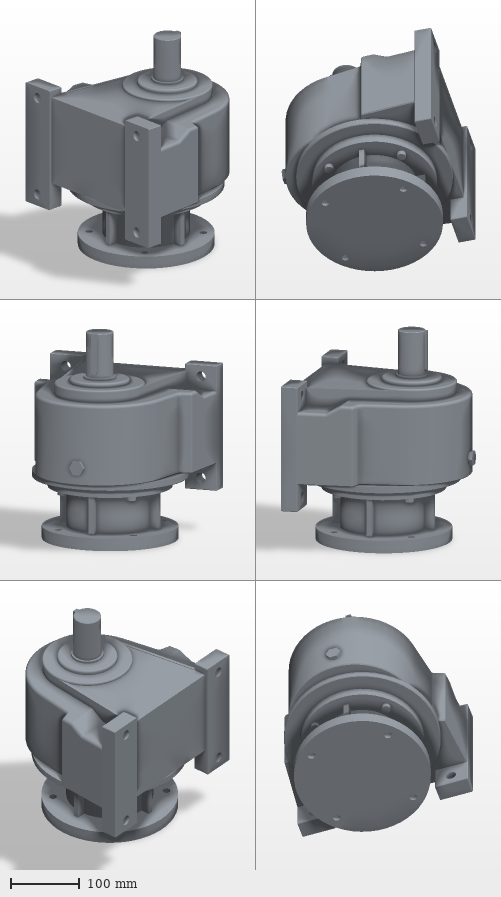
import cadquery as cq
import math


flange_thickness = 18.5
adapter_disc_bottom = 77.0
adapter_disc_top = 91.5
housing_bottom = 101.5
low_shoulder_top = 208.5
shoulder_top = 220.7
block_top = 235.5
shaft_tip = 313.0

foot_span = 260.0
foot_width = 50.0
foot_depth = 25.0
foot_height = 185.0
foot_middle_height = 153.5
foot_front = -160.0
foot_back = foot_front + foot_depth
foot_edge_chamfer = 1.0
foot_hole_diameter = 15.0
foot_hole_spacing_x = 209.7
foot_hole_spacing_z = 150.0

body_arc_radius = 96.5
body_arc_center_y = -8.8
body_wall_angle = math.radians(10)
shoulder_start_y = -48.2
shoulder_corner = (122.7, -53.5)
body_foot_half_width = 130.0
shoulder_inner_radius = 5.0
shoulder_outer_radius = 3.0
slope_top_y = -72.0
slope_bottom_y = -94.0
slope_bend_radius = 3.8
body_top_fillet = 4.7
body_bottom_chamfer = 1.5

boss_radius = 65.0
block_wall_angle = math.radians(7.5)
block_front = -155.0
panel_depth = 1.0
panel_inset = 4.0
panel_floor = block_top - panel_depth
wide_cover_radius = 65.7
wide_cover_height = 3.0
wide_cover_fillet = 2.8
small_cover_radius = 43.8
small_cover_height = 6.3
small_cover_fillet = 3.0
small_cover_bottom = block_top + wide_cover_height
small_cover_top = small_cover_bottom + small_cover_height

shaft_radius = 20.0
shaft_chamfer = 1.0
collar_radius = 23.5
collar_height = 3.0
key_width = 8.0
key_reach = 23.5
key_length = 60.0

input_axis_y = -42.3
base_disc_radius = 113.5
base_disc_chamfer = 1.0
adapter_disc_radius = 90.8
adapter_core_radius = 63.2
rib_reach = 76.5
rib_width = 7.8
flange_radius = 99.2
flange_hole_circle_radius = 82.5
flange_hole_diameter = 11.0
screw_circle_radius = 76.7
screw_head_radius = 6.5
screw_head_height = 7.2

plug_height = 127.7
plug_top_y = 94.0
plug_head_thickness = 5.3
plug_across_flats = 19.7
plug_neck_radius = 9.5
plug_neck_length = 7.8


def disc(radius, bottom, top, center_y=0.0):
    """Upright cylinder between two heights."""
    return cq.Workplane("XY", origin=(0, center_y, bottom)).circle(radius).extrude(top - bottom)


def make_body():
    """Rounded lower housing with two shoulders that slope down towards the feet."""
    tangent_x = body_arc_radius * math.cos(body_wall_angle)
    tangent_y = body_arc_center_y + body_arc_radius * math.sin(body_wall_angle)
    neck_x = tangent_x + (tangent_y - shoulder_start_y) * math.tan(body_wall_angle)
    corner_x, corner_y = shoulder_corner
    outline = (
        cq.Workplane("XY", origin=(0, 0, housing_bottom))
        .moveTo(-tangent_x, tangent_y)
        .threePointArc((0, body_arc_center_y + body_arc_radius), (tangent_x, tangent_y))
        .lineTo(neck_x, shoulder_start_y)
        .lineTo(corner_x, corner_y)
        .lineTo(body_foot_half_width, foot_back)
        .lineTo(-body_foot_half_width, foot_back)
        .lineTo(-corner_x, corner_y)
        .lineTo(-neck_x, shoulder_start_y)
        .close()
    )
    body = outline.extrude(shoulder_top - housing_bottom)
    for x, y, radius in (
        (neck_x, shoulder_start_y, shoulder_inner_radius),
        (corner_x, corner_y, shoulder_outer_radius),
    ):
        for side in (-1, 1):
            middle = (side * x, y, (housing_bottom + shoulder_top) / 2)
            body = body.edges(cq.NearestToPointSelector(middle)).fillet(radius)

    lowering = (
        cq.Workplane("YZ", origin=(-foot_span / 2, 0, 0))
        .moveTo(slope_top_y, shoulder_top)
        .lineTo(slope_bottom_y, low_shoulder_top)
        .lineTo(foot_back, low_shoulder_top)
        .lineTo(foot_back, shoulder_top)
        .close()
        .extrude(foot_span)
    )
    body = body.cut(lowering)
    for y, z in ((slope_top_y, shoulder_top), (slope_bottom_y, low_shoulder_top)):
        body = body.edges(cq.NearestToPointSelector((0, y, z))).fillet(slope_bend_radius)

    margin = 0.3
    upper_zone = cq.selectors.BoxSelector(
        (-foot_span, foot_front, low_shoulder_top - margin),
        (foot_span, plug_top_y, shoulder_top + margin),
    )
    body = body.edges(upper_zone).edges("not |X").fillet(body_top_fillet)
    return body.faces("<Z").edges("not |X").chamfer(body_bottom_chamfer)


def tangent_wall_prism(radius, bottom, top):
    """Prism that is round around the shaft and spreads along tangent walls to the front."""
    tangent_x = radius * math.cos(block_wall_angle)
    tangent_y = radius * math.sin(block_wall_angle)
    front_x = tangent_x + (tangent_y - block_front) * math.tan(block_wall_angle)
    return (
        cq.Workplane("XY", origin=(0, 0, bottom))
        .moveTo(-tangent_x, tangent_y)
        .threePointArc((0, radius), (tangent_x, tangent_y))
        .lineTo(front_x, block_front)
        .lineTo(-front_x, block_front)
        .close()
        .extrude(top - bottom)
    )


def make_block():
    """Upper block whose top is sunk as a shallow panel, which leaves a narrow rim along its walls."""
    block = tangent_wall_prism(boss_radius, housing_bottom, block_top)
    return block.cut(tangent_wall_prism(boss_radius - panel_inset, panel_floor, block_top))


def make_covers():
    """Two stepped bearing covers with rounded rims."""
    wide = disc(wide_cover_radius, panel_floor, small_cover_bottom).faces(">Z").edges().fillet(wide_cover_fillet)
    small = disc(small_cover_radius, small_cover_bottom, small_cover_top)
    return wide.union(small.faces(">Z").edges().fillet(small_cover_fillet))


def make_foot(side):
    """Drilled mounting bar with chamfers on all edges but those of its front; side is -1 or 1 along X."""
    center_x = side * (foot_span - foot_width) / 2
    foot = cq.Workplane("XY").box(foot_width, foot_depth, foot_height)
    foot = foot.edges("|Y or >Y").chamfer(foot_edge_chamfer)
    foot = foot.translate((center_x, foot_front + foot_depth / 2, foot_middle_height))
    holes = (
        cq.Workplane("XZ", origin=(side * foot_hole_spacing_x / 2, foot_back, foot_middle_height))
        .rarray(3, foot_hole_spacing_z, 1, 2)
        .circle(foot_hole_diameter / 2)
        .extrude(foot_depth)
    )
    return foot.cut(holes)


def make_plug_neck():
    """Neck of the vent plug, also the shape of its hole."""
    neck_start = plug_top_y - plug_head_thickness
    return (
        cq.Workplane("XZ", origin=(0, neck_start, plug_height))
        .circle(plug_neck_radius)
        .extrude(plug_neck_length)
    )


def make_vent_plug():
    """Hexagonal plug on the +Y side, with a neck that enters the housing."""
    head = (
        cq.Workplane("XZ", origin=(0, plug_top_y, plug_height))
        .polygon(6, plug_across_flats / math.cos(math.pi / 6))
        .extrude(plug_head_thickness)
    )
    return head.union(make_plug_neck())


def make_housing():
    """Gear housing with base disc, covers and feet."""
    housing = make_body().union(make_block()).union(make_covers())
    base_disc = disc(base_disc_radius, adapter_disc_top, housing_bottom, input_axis_y)
    housing = housing.union(base_disc.faces("<Z").chamfer(base_disc_chamfer))
    for side in (-1, 1):
        housing = housing.union(make_foot(side))
    return housing.cut(make_plug_neck())


def make_output_shaft():
    """Shaft with a collar that rests on the small cover, and a round-ended key on its +Y side."""
    collar_top = small_cover_top + collar_height
    shaft = disc(shaft_radius, collar_top, shaft_tip).faces(">Z").chamfer(shaft_chamfer)
    collar = disc(collar_radius, small_cover_top, collar_top)
    key_round_height = shaft_tip - key_length + key_width / 2
    key_end = (
        cq.Workplane("XZ", origin=(0, key_reach, key_round_height)).circle(key_width / 2).extrude(key_reach)
    )
    key_bar = cq.Workplane("XY", origin=(0, key_reach / 2, key_round_height)).box(
        key_width, key_reach, shaft_tip - key_round_height, centered=(True, True, False)
    )
    return shaft.union(collar).union(key_bar).union(key_end)


def make_adapter():
    """Input adapter: disc with screw heads, ribbed core and drilled mounting flange."""
    adapter = disc(flange_radius, 0, flange_thickness)
    adapter = adapter.union(disc(adapter_core_radius, flange_thickness, adapter_disc_bottom))
    adapter = adapter.union(disc(adapter_disc_radius, adapter_disc_bottom, adapter_disc_top))
    rib_height = adapter_disc_bottom - flange_thickness
    for length_x, length_y in ((2 * rib_reach, rib_width), (rib_width, 2 * rib_reach)):
        rib_pair = cq.Workplane("XY", origin=(0, 0, flange_thickness)).box(
            length_x, length_y, rib_height, centered=(True, True, False)
        )
        adapter = adapter.union(rib_pair)
    screw_heads = (
        cq.Workplane("XY", origin=(0, 0, adapter_disc_bottom - screw_head_height))
        .polarArray(screw_circle_radius, 45, 360, 4)
        .circle(screw_head_radius)
        .extrude(screw_head_height)
    )
    flange_holes = (
        cq.Workplane("XY")
        .polarArray(flange_hole_circle_radius, 45, 360, 4)
        .circle(flange_hole_diameter / 2)
        .extrude(flange_thickness)
    )
    return adapter.union(screw_heads).cut(flange_holes).translate((0, input_axis_y, 0))


housing = make_housing()
output_shaft = make_output_shaft()
adapter = make_adapter()
vent_plug = make_vent_plug()

result = cq.Compound.makeCompound([housing.val(), output_shaft.val(), adapter.val(), vent_plug.val()])